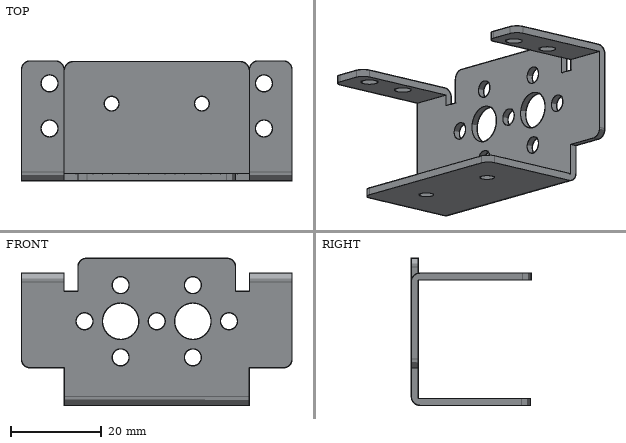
import cadquery as cq

sheet = 1.6
outer_bend_radius = 2.0
corner_radius = 2.0

total_width = 60.0
tab_width = 35.0
tab_top = 14.0
notch_floor = 6.7
wing_top = 10.7
wing_bottom = -10.35

base_width = 41.0
base_bottom = -18.67
base_depth = 26.45
ear_depth = 26.6
ear_width = (total_width - base_width) / 2
ear_center_x = (total_width - ear_width) / 2

mount_hole_diameter = 3.7
shaft_hole_diameter = 8.0
hole_pitch = 8.0
ear_hole_x = 23.75
ear_hole_y_positions = (11.6, 21.6)
base_hole_diameter = 3.2
base_hole_x = 10.0
base_hole_y = 17.1


def block(width, depth, z_low, z_high, center_x=0):
    """Box centred on center_x, starting at the front face Y = 0."""
    return (
        cq.Workplane("XY", origin=(center_x, depth / 2, z_low))
        .box(width, depth, z_high - z_low, centered=(True, True, False))
    )


def angle(width, depth, z_low, z_high, flange_z, center_x):
    """Upright wall with one flange at flange_z, its far corners rounded."""
    wall = block(width, sheet, z_low, z_high, center_x)
    flange = block(width, depth, flange_z, flange_z + sheet, center_x)
    flange = flange.edges("|Z and >Y").fillet(corner_radius)
    return wall.union(flange)


def make_base():
    """Centre wall with the wide bottom flange."""
    base = angle(base_width, base_depth, base_bottom, notch_floor, base_bottom, 0)
    return base.edges("|X and <Y and <Z").fillet(outer_bend_radius)


def make_ear(side):
    """Side wing with its narrow top flange; side is -1 or +1."""
    ear = angle(ear_width, ear_depth, wing_bottom, wing_top, wing_top - sheet, side * ear_center_x)
    ear = ear.edges("|X and <Y and >Z").fillet(outer_bend_radius)
    outer_side = ">X" if side > 0 else "<X"
    return ear.edges(f"|Y and <Z and {outer_side}").fillet(corner_radius)


def make_tab():
    """Upper tab standing between the two notches."""
    tab = block(tab_width, sheet, notch_floor, tab_top)
    return tab.edges("|Y and >Z").fillet(corner_radius)


def plate_holes(diameter, centers):
    """Cutters through the upright plate at the given (x, z) centres."""
    return (
        cq.Workplane("XZ")
        .pushPoints(centers)
        .circle(diameter / 2)
        .extrude(-sheet)
    )


def flange_holes(diameter, centers, flange_z):
    """Cutters through a flange at the given (x, y) centres."""
    return (
        cq.Workplane("XY", origin=(0, 0, flange_z))
        .pushPoints(centers)
        .circle(diameter / 2)
        .extrude(sheet)
    )


shaft_centers = [(side * hole_pitch, 0) for side in (-1, 1)]
row_centers = [(step * hole_pitch, 0) for step in (-2, 0, 2)]
offset_centers = [(i * hole_pitch, j * hole_pitch) for i in (-1, 1) for j in (-1, 1)]
ear_centers = [(side * ear_hole_x, y) for side in (-1, 1) for y in ear_hole_y_positions]
base_centers = [(side * base_hole_x, base_hole_y) for side in (-1, 1)]

bracket = make_base().union(make_tab())
for side in (-1, 1):
    bracket = bracket.union(make_ear(side))
bracket = bracket.clean()

bracket = bracket.cut(plate_holes(shaft_hole_diameter, shaft_centers))
bracket = bracket.cut(plate_holes(mount_hole_diameter, row_centers + offset_centers))
bracket = bracket.cut(flange_holes(mount_hole_diameter, ear_centers, wing_top - sheet))
bracket = bracket.cut(flange_holes(base_hole_diameter, base_centers, base_bottom))

result = bracket